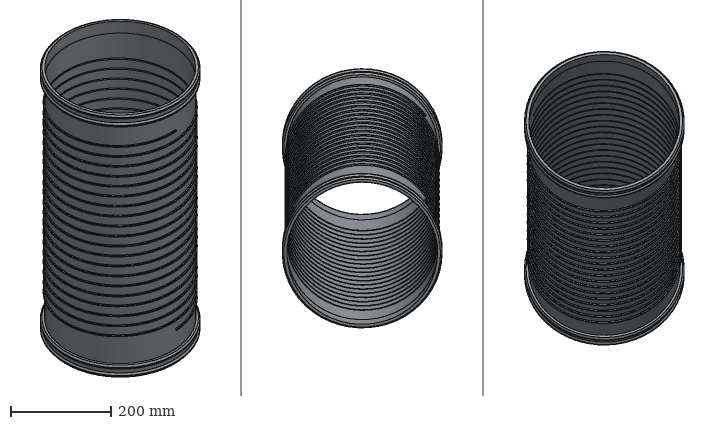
import cadquery as cq

length = 659.0
bore_diameter = 300.0
tube_diameter = 302.0

collar_diameter = 311.5
bead_diameter = 318.0
collar_height = 30.0
bead_width = 10.5
crest_width = 2.0

rib_pitch = 25.0
rib_turns = 20
rib_base = 3.0
rib_crest = 2.0
rib_height = 2.5

bore_radius = bore_diameter / 2
tube_radius = tube_diameter / 2
rib_length = rib_pitch * rib_turns
rib_start = (length - rib_length) / 2


def make_ring(outer_diameter, bottom, height):
    """Plain ring around the Z axis with the bore of the tube."""
    outline = cq.Workplane("XY").workplane(offset=bottom).circle(outer_diameter / 2).circle(bore_radius)
    return outline.extrude(height)


def make_bead(middle):
    """Ring with sloping sides and a narrow flat crest at the bead diameter."""
    crest_radius = bead_diameter / 2
    shoulder_radius = collar_diameter / 2
    return (
        cq.Workplane("XZ")
        .moveTo(bore_radius, middle - bead_width / 2)
        .lineTo(shoulder_radius, middle - bead_width / 2)
        .lineTo(crest_radius, middle - crest_width / 2)
        .lineTo(crest_radius, middle + crest_width / 2)
        .lineTo(shoulder_radius, middle + bead_width / 2)
        .lineTo(bore_radius, middle + bead_width / 2)
        .close()
        .revolve(360, (0, 0, 0), (0, 1, 0))
    )


def make_bottom_collar():
    """Collar at the lower open end, with a bead along each edge."""
    collar = make_ring(collar_diameter, 0, collar_height)
    for middle in (bead_width / 2, collar_height - bead_width / 2):
        collar = collar.union(make_bead(middle))
    return collar


def make_tube():
    """Thin tube with a mirrored collar at each end."""
    bottom_collar = make_bottom_collar()
    top_collar = bottom_collar.mirror("XY", (0, 0, length / 2))
    return make_ring(tube_diameter, 0, length).union(bottom_collar).union(top_collar)


def make_rib():
    """Right-handed helical rib of trapezoidal section, with its base on the tube."""
    path = cq.Wire.makeHelix(rib_pitch, rib_length, tube_radius).translate(cq.Vector(0, 0, rib_start))
    return (
        cq.Workplane("XZ")
        .moveTo(tube_radius, rib_start - rib_base / 2)
        .lineTo(tube_radius, rib_start + rib_base / 2)
        .lineTo(tube_radius + rib_height, rib_start + rib_crest / 2)
        .lineTo(tube_radius + rib_height, rib_start - rib_crest / 2)
        .close()
        .sweep(path, isFrenet=True)
    )


tube = make_tube()
rib = make_rib()

result = cq.Compound.makeCompound([*tube.solids().vals(), rib.val()])